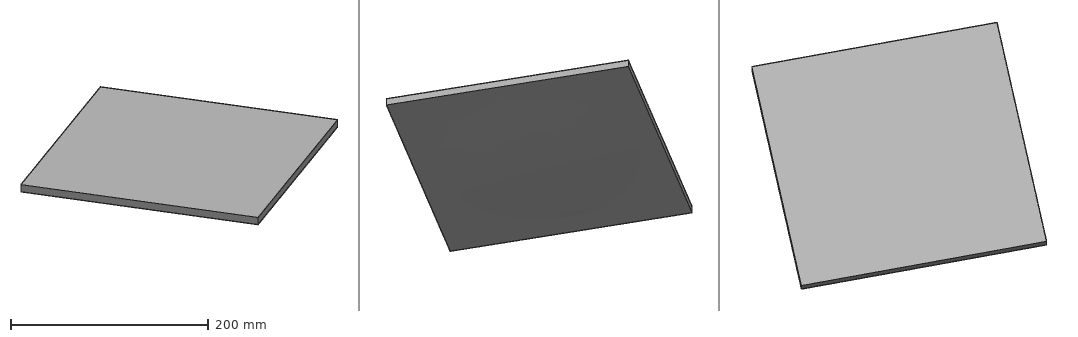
import cadquery as cq

plate_side = 253.7
overall_height = 10.7
bulge_depth = 2.5
bulge_diameter = 205.8

plate_thickness = overall_height - bulge_depth
bulge_radius = bulge_diameter / 2

plate = cq.Workplane("XY").box(plate_side, plate_side, plate_thickness, centered=(True, True, False))


def spherical_bulge():
    """Revolve half of the bulge, reaching up into the plate so the two join cleanly."""
    sphere_radius = (bulge_radius**2 + bulge_depth**2) / (2 * bulge_depth)
    sphere_centre = sphere_radius - bulge_depth
    middle_radius = bulge_radius / 2
    middle_depth = (sphere_radius**2 - middle_radius**2) ** 0.5 - sphere_centre
    overlap = plate_thickness / 2
    return (
        cq.Workplane("XZ")
        .moveTo(0, -bulge_depth)
        .threePointArc((middle_radius, -middle_depth), (bulge_radius, 0))
        .lineTo(bulge_radius, overlap)
        .lineTo(0, overlap)
        .close()
        .revolve(360, (0, 0, 0), (0, 1, 0))
    )


result = plate.union(spherical_bulge())